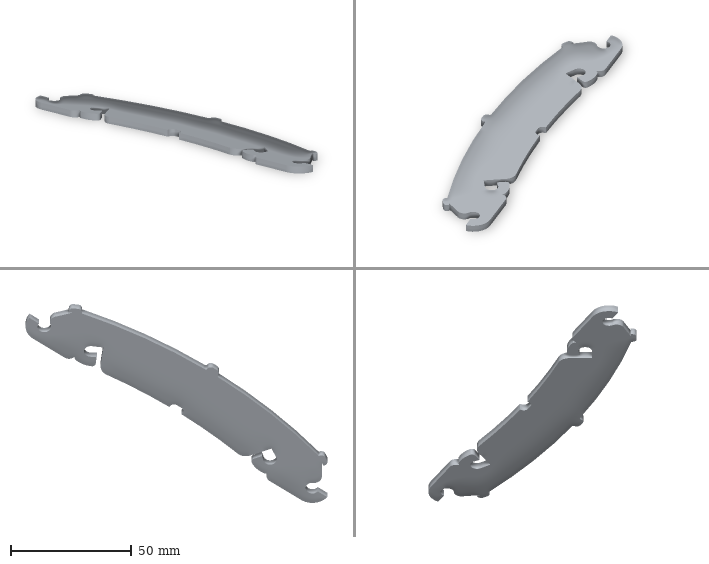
import cadquery as cq
import math

length = 155.7
height = 33.2
thickness = 3.0

edge_radius = 253.9
top_crest = 30.5
top_end_x = 62.3
bottom_crest = 5.8
bottom_end_x = 34.5

hook_radius = 7.8
socket_radius = 2.8
socket_end_angle = 62.0
hook_x = length / 2 - hook_radius

inner_x = 46.9
inner_y = 9.2
slope_angle = 30.0
mouth_top = (-43.9, 14.0)

tab_width = 5.5
center_tab_depth = 3.9
end_tab_depth = 2.3
tab_round = 1.7
tab_foot_round = 0.6
end_tab_x = 65.4
end_tab_y = 23.4
notch_width = 6.4
notch_top = 8.4
notch_round = 2.0


def polar(center, radius, degrees):
    """Point on a circle."""
    angle = math.radians(degrees)
    return (center[0] + radius * math.cos(angle), center[1] + radius * math.sin(angle))


def edge_y(crest, x):
    """Height of a long curved edge at x."""
    return crest - edge_radius + math.sqrt(edge_radius**2 - x**2)


def left_half():
    """Left half of the plate, without tabs and notch."""
    hook = (-hook_x, hook_radius)
    inner = (-inner_x, inner_y)
    return (
        cq.Workplane("XY")
        .moveTo(0, bottom_crest)
        .threePointArc(
            (-bottom_end_x / 2, edge_y(bottom_crest, bottom_end_x / 2)),
            (-bottom_end_x, edge_y(bottom_crest, bottom_end_x)),
        )
        .threePointArc((-37.0, 3.9), (-39.0, 5.5))
        .lineTo(*mouth_top)
        .lineTo(*polar(inner, socket_radius, 90 + slope_angle))
        .threePointArc(polar(inner, socket_radius, 205), polar(inner, socket_radius, 270 + slope_angle))
        .lineTo(-43.1, 8.4)
        .lineTo(-41.5, 5.5)
        .threePointArc((-41.1, 4.4), (-41.7, 3.3))
        .threePointArc((-45.5, 1.9), (-49.5, 1.9))
        .lineTo(-50.6, 2.8)
        .threePointArc((-51.4, 1.0), (-53.5, 0))
        .lineTo(-hook_x, 0)
        .threePointArc(polar(hook, hook_radius, 225), polar(hook, hook_radius, 180))
        .lineTo(-hook_x - socket_radius, hook_radius)
        .threePointArc(polar(hook, socket_radius, 300), polar(hook, socket_radius, socket_end_angle))
        .threePointArc((-70.2, 12.6), (-69.3, 15.3))
        .lineTo(-65.5, 20.4)
        .lineTo(-65.1, 21.8)
        .lineTo(-top_end_x, edge_y(top_crest, top_end_x))
        .threePointArc((-top_end_x / 2, edge_y(top_crest, top_end_x / 2)), (0, top_crest))
        .close()
        .extrude(thickness)
    )


def rounded_block(width, depth, corner_radius):
    """Block hanging from y = 0, with its two upper corners rounded."""
    return (
        cq.Workplane("XY")
        .box(width, depth, thickness, centered=(True, False, False))
        .translate((0, -depth, 0))
        .edges("|Z and >Y")
        .fillet(corner_radius)
    )


end_tab = (
    rounded_block(tab_width, end_tab_depth, tab_round)
    .rotate((0, 0, 0), (0, 0, 1), slope_angle)
    .translate((-end_tab_x, end_tab_y, 0))
)
half = left_half().union(end_tab)
plate = half.union(half.mirror("YZ"))

center_tab = rounded_block(tab_width, center_tab_depth, tab_round).translate((0, height, 0))
notch = rounded_block(notch_width, notch_top, notch_round).translate((0, notch_top, 0))

foot_edges = cq.selectors.BoxSelector(
    (-tab_width, top_crest - tab_foot_round, 0),
    (tab_width, top_crest + tab_foot_round, thickness),
)
plate = plate.union(center_tab).edges("|Z").edges(foot_edges).fillet(tab_foot_round)

result = plate.cut(notch)